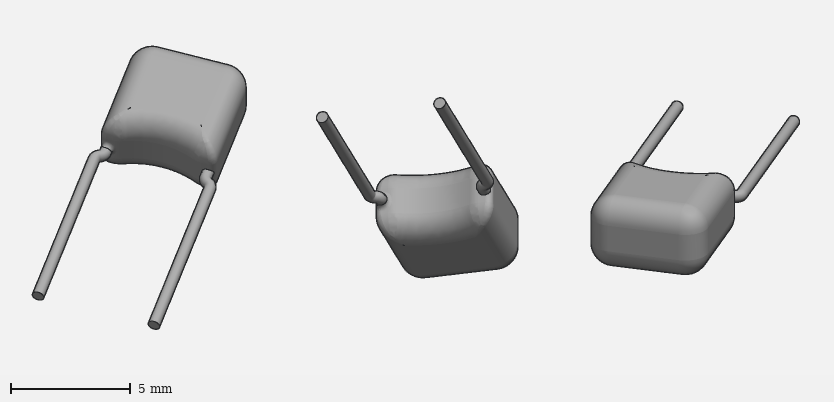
import cadquery as cq
import math

width = 5.08
length = 5.08
height = 3.17
edge_radius = 1.0
shoulder_radius = 0.95
corner_radius = 0.3
recess_radius = 3.77
recess_depth = 0.42
recess_half_width = math.sqrt(recess_radius ** 2 - (recess_radius - recess_depth) ** 2)

lead_radius = 0.25
lead_pitch = width
jog_offset = 0.34
jog_length = 0.53
stub_length = 0.24
embed_depth = 0.54
flare_radius = 0.2

overall_length = 13.48
back_y = overall_length / 2
front_y = back_y - length
tip_y = -overall_length / 2
embed_y = front_y + embed_depth
jog_start_y = front_y - stub_length
jog_end_y = jog_start_y - jog_length

tip_x = lead_pitch / 2
entry_x = tip_x - jog_offset

overrun = 2.7
pick_margin = 0.13
rim_margin = 0.04


def edges_near(x, y):
    """Select edges whose centre lies at mid height, close to a point in plan."""
    return cq.selectors.BoxSelector(
        (x - pick_margin, y - pick_margin, -pick_margin),
        (x + pick_margin, y + pick_margin, pick_margin),
    )


def make_side_form():
    """Block rounded along the sides and the back, running on past the front."""
    form_length = length + overrun
    block = cq.Workplane("XY").box(width, form_length, height)
    block = block.translate((0, back_y - form_length / 2, 0))
    block = block.edges("|Z and >Y").fillet(edge_radius)
    return block.faces("|Z").edges("not <Y").fillet(edge_radius)


def make_front_form():
    """Wide block with the recessed front, rounded along its front edges."""
    half_width = width / 2 + overrun
    form_back_y = back_y + overrun
    block = (
        cq.Workplane("XY")
        .moveTo(-half_width, front_y)
        .lineTo(-recess_half_width, front_y)
        .threePointArc((0, front_y + recess_depth), (recess_half_width, front_y))
        .lineTo(half_width, front_y)
        .lineTo(half_width, form_back_y)
        .lineTo(-half_width, form_back_y)
        .close()
        .extrude(height / 2, both=True)
    )
    for side in (-1, 1):
        block = block.edges(edges_near(side * recess_half_width, front_y)).fillet(shoulder_radius)
    front_edges = block.faces("<Y").edges("|X")
    return front_edges.fillet(edge_radius)


def make_lead(side):
    """Wire swept along a straight stub, an S-shaped jog and a long straight leg."""
    middle = (side * (entry_x + tip_x) / 2, (jog_start_y + jog_end_y) / 2)
    path = (
        cq.Workplane("XY")
        .moveTo(side * entry_x, embed_y)
        .lineTo(side * entry_x, jog_start_y)
        .tangentArcPoint(middle, relative=False)
        .tangentArcPoint((side * tip_x, jog_end_y), relative=False)
        .lineTo(side * tip_x, tip_y)
    )
    section = cq.Workplane("XZ", origin=(side * entry_x, embed_y, 0)).circle(lead_radius)
    return section.sweep(path)


def add_flare(housing):
    """Blend the housing onto the stub of the left lead, filling the lead's place with solid."""
    stub = cq.Workplane("XZ", origin=(-entry_x, embed_y, 0)).circle(lead_radius)
    housing = housing.union(stub.extrude(embed_depth + stub_length))
    rim = cq.selectors.BoxSelector(
        (-entry_x - lead_radius, front_y - rim_margin, -lead_radius),
        (-entry_x + lead_radius, front_y + corner_radius, lead_radius),
    )
    return housing.edges(rim).fillet(flare_radius)


def make_housing(leads):
    """Rounded body with the flare, hollowed where the leads go in."""
    housing = make_side_form().intersect(make_front_form())
    for side in (-1, 1):
        housing = housing.edges(edges_near(side * width / 2, front_y)).fillet(corner_radius)
    housing = add_flare(housing)
    for lead in leads:
        housing = housing.cut(lead)
    return housing.solids()


leads = [make_lead(side) for side in (-1, 1)]
housing = make_housing(leads)
result = cq.Compound.makeCompound([housing.val(), *[lead.val() for lead in leads]])